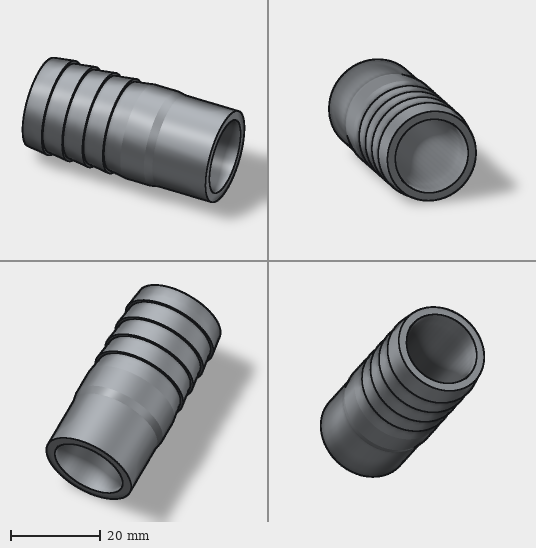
import cadquery as cq

length = 45.0
outer_radius = 22.0 / 2
bore_radius = 17.0 / 2

barb_count = 4
barb_pitch = 5.0
barb_root_radius = 20.7 / 2
last_ramp_length = 4.3

collar_length = 5.75
spigot_length = 13.0
spigot_radius = 21.3 / 2

collar_start = barb_count * barb_pitch + last_ramp_length
collar_end = collar_start + collar_length
spigot_start = length - spigot_length

profile = cq.Workplane("XZ").moveTo(0, bore_radius).lineTo(0, barb_root_radius)
for barb in range(1, barb_count + 1):
    barb_end = barb * barb_pitch
    profile = profile.lineTo(barb_end, outer_radius).lineTo(barb_end, barb_root_radius)

profile = (
    profile.lineTo(collar_start, outer_radius)
    .lineTo(collar_end, outer_radius)
    .lineTo(spigot_start, spigot_radius)
    .lineTo(length, spigot_radius)
    .lineTo(length, bore_radius)
    .close()
)

result = profile.revolve(360, (0, 0, 0), (1, 0, 0))